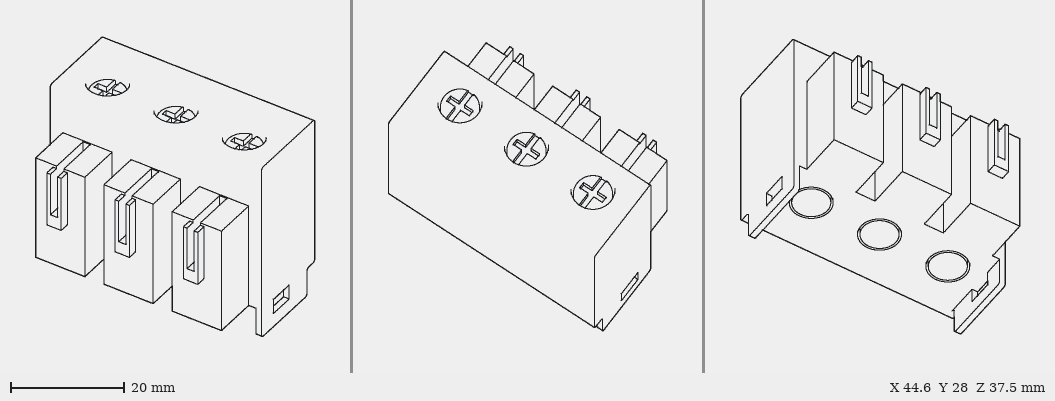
import cadquery as cq

width = 44.6
height = 37.5
body_depth = 17.2
body_height = 31.5
edge_radius = 0.62
ear_thickness = 1.2
ear_setback = 2.5

window_depth = 5.0
window_height = 3.08
window_front_offset = 3.92

pole_count = 3
pole_pitch = 14.4
block_width = 10.4
block_depth = 8.8
block_top_drop = 9.45

rib_width = 3.05
rib_depth = 2.0
rib_height = 11.5
rib_top_drop = 0.55
slot_width = 1.5
slot_height = 9.5
slot_end_wall = 0.25

hole_diameter = 7.75
hole_lip_radius = 0.7
hole_front_offset = 6.5

screw_diameter = 6.9
screw_edge_radius = 0.6
screw_recess = 1.95
drive_width = 1.2
drive_depth = 1.15
short_drive_length = 4.9

underside_z = height - body_height
block_top_z = height - block_top_drop
screw_top_z = height - screw_recess
pole_positions = [(i - (pole_count - 1) / 2) * pole_pitch for i in range(pole_count)]


def box(x_range, y_range, z_range):
    """Axis-aligned box given by its limits along each axis."""
    lows, highs = zip(x_range, y_range, z_range)
    size = [high - low for low, high in zip(lows, highs)]
    return cq.Workplane("XY").box(*size, centered=False).translate(lows)


def centred(middle, size):
    """Limits of a span of the given size around its middle."""
    return (middle - size / 2, middle + size / 2)


def make_shell():
    """Body with an ear below each end and a window through both ears."""
    shell = (
        cq.Workplane("YZ")
        .moveTo(0, 0)
        .lineTo(body_depth - ear_setback, 0)
        .lineTo(body_depth - ear_setback, underside_z)
        .lineTo(body_depth, underside_z)
        .lineTo(body_depth, height)
        .lineTo(0, height)
        .close()
        .extrude(width / 2, both=True)
        .edges("|X")
        .fillet(edge_radius)
    )
    ear_gap = box(centred(0, width - 2 * ear_thickness), (0, body_depth), (0, underside_z))
    window = box(
        centred(0, width),
        (window_front_offset, window_front_offset + window_depth),
        (underside_z - window_height, underside_z),
    )
    return shell.cut(ear_gap).cut(window)


def make_block(x):
    """Contact block with a front rib, split from the top by a narrow slot."""
    block = box(centred(x, block_width), (-block_depth, 0), (underside_z, block_top_z))
    rib_front = -block_depth - rib_depth
    rib_top_z = block_top_z - rib_top_drop
    rib = box(centred(x, rib_width), (rib_front, -block_depth), (rib_top_z - rib_height, rib_top_z))
    slot = box(centred(x, slot_width), (rib_front, -slot_end_wall), (block_top_z - slot_height, block_top_z))
    return block.union(rib).cut(slot)


def make_hole(x):
    """Cutter for a vertical through hole with a rounded lip at the top."""
    radius = hole_diameter / 2
    lip = hole_lip_radius
    return (
        cq.Workplane("XZ")
        .moveTo(0, underside_z)
        .lineTo(radius, underside_z)
        .lineTo(radius, height - lip)
        .radiusArc((radius + lip, height), lip)
        .lineTo(0, height)
        .close()
        .revolve(360, (0, 0), (0, 1))
        .translate((x, hole_front_offset, 0))
    )


def make_housing():
    """Shell with its blocks in one piece, drilled for the screws."""
    housing = make_shell()
    for x in pole_positions:
        housing = housing.union(make_block(x)).cut(make_hole(x))
    return housing


def make_screw(x):
    """Headless screw with a round top edge and a cross drive, one arm of which runs right across."""
    y = hole_front_offset
    screw = (
        cq.Workplane("XY", origin=(x, y, underside_z))
        .circle(screw_diameter / 2)
        .extrude(screw_top_z - underside_z)
        .faces(">Z")
        .edges()
        .fillet(screw_edge_radius)
    )
    drive_z = (screw_top_z - drive_depth, screw_top_z)
    long_arm = box(centred(x, drive_width), centred(y, screw_diameter), drive_z)
    short_arm = box(centred(x, short_drive_length), centred(y, drive_width), drive_z)
    return screw.cut(long_arm).cut(short_arm)


housing = make_housing()
screws = [make_screw(x) for x in pole_positions]
result = cq.Compound.makeCompound([housing.val(), *[screw.val() for screw in screws]])